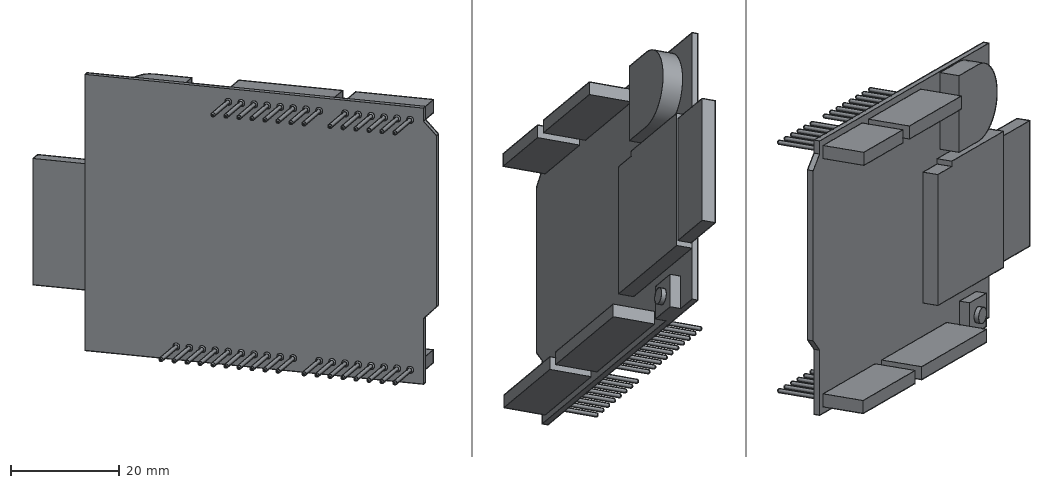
import cadquery as cq


total_length = 79.2
card_overhang = 10.6
board_length = total_length - card_overhang
board_height = 53.3
board_thickness = 1.2

pitch = 2.5
pin_length = 8.95
pin_diameter = 0.8
pin_tip_chamfer = 0.2
solder_diameter = 1.35
solder_height = 0.2
upper_header_height = 8.55
lower_header_height = 8.4
row_inset = pitch
first_pin_x = 17.8
lower_row_z = row_inset
upper_row_z = board_height - row_inset
headers = [
    (0, 10, lower_row_z, lower_header_height),
    (11, 8, lower_row_z, lower_header_height),
    (4, 8, upper_row_z, upper_header_height),
    (13, 6, upper_row_z, upper_header_height),
]

nose_depth = pitch
nose_bottom = 5 * pitch
nose_top = board_height - pitch

cell_radius = 7.45
cell_height = 4.0
cell_center_x = 11.65
cell_edge_gap = 0.2
cell_center_z = board_height - cell_edge_gap - cell_radius

socket_start = 0.1
socket_end = 25.75
socket_step_x = 20.3
socket_bottom = 10.2
socket_top = 36.7
socket_height = 3.1
card_bottom = 11.25
card_top = 35.65
card_gap = 0.15
card_thickness = 2.7
card_insertion = 15.85

button_size = 6.5
button_body_height = 2.1
button_cap_height = 3.1
button_cap_diameter = 3.1
button_center_x = (first_pin_x - pitch / 2) / 2
button_center_z = button_size / 2


def block(x_start, x_end, z_start, z_end, height, lift=0.0):
    """Box on the component side, raised by lift above the board."""
    size = (x_end - x_start, height, z_end - z_start)
    corner = (x_start, board_thickness + lift, z_start)
    return cq.Workplane("XY").box(*size, centered=False).translate(corner)


def disc(x, z, diameter, y_start, length):
    """Cylinder along +Y."""
    base = cq.Workplane("XZ", origin=(x, y_start, z))
    return base.circle(diameter / 2).extrude(-length)


def make_board():
    shoulder_x = board_length - nose_depth
    outline = [
        (0, 0),
        (shoulder_x, 0),
        (shoulder_x, nose_bottom),
        (board_length, nose_bottom + nose_depth),
        (board_length, nose_top - nose_depth),
        (shoulder_x, nose_top),
        (shoulder_x, board_height),
        (0, board_height),
    ]
    return cq.Workplane("XZ").polyline(outline).close().extrude(-board_thickness)


def make_pin(x, z):
    pin = disc(x, z, pin_diameter, -pin_length, pin_length)
    pin = pin.faces("<Y").chamfer(pin_tip_chamfer)
    joint = cq.Workplane(
        cq.Solid.makeCone(
            solder_diameter / 2,
            pin_diameter / 2,
            solder_height,
            cq.Vector(x, 0, z),
            cq.Vector(0, -1, 0),
        )
    )
    return pin.union(joint)


def make_header_body(first_hole, pin_count, row_z, body_height):
    x_start = first_pin_x + (first_hole - 0.5) * pitch
    x_end = x_start + pin_count * pitch
    return block(x_start, x_end, row_z - pitch / 2, row_z + pitch / 2, body_height)


def make_cell_holder():
    round_end = disc(cell_center_x, cell_center_z, 2 * cell_radius, board_thickness, cell_height)
    square_end = block(
        cell_center_x,
        cell_center_x + cell_radius,
        cell_center_z - cell_radius,
        cell_center_z + cell_radius,
        cell_height,
    )
    return round_end.union(square_end)


def make_card_socket():
    front = block(socket_start, socket_step_x, socket_bottom, socket_top, socket_height)
    inner = block(socket_step_x, socket_end, socket_bottom, card_top, socket_height)
    card = block(-card_overhang, card_insertion, card_bottom, card_top, card_thickness, card_gap)
    return front.union(inner).union(card)


def make_button():
    half = button_size / 2
    body = block(
        button_center_x - half,
        button_center_x + half,
        button_center_z - half,
        button_center_z + half,
        button_body_height,
    )
    cap = disc(button_center_x, button_center_z, button_cap_diameter, board_thickness, button_cap_height)
    return body.union(cap)


result = make_board().union(make_cell_holder()).union(make_card_socket()).union(make_button())
for first_hole, pin_count, row_z, body_height in headers:
    result = result.union(make_header_body(first_hole, pin_count, row_z, body_height))
    for index in range(pin_count):
        pin_x = first_pin_x + (first_hole + index) * pitch
        result = result.union(make_pin(pin_x, row_z))